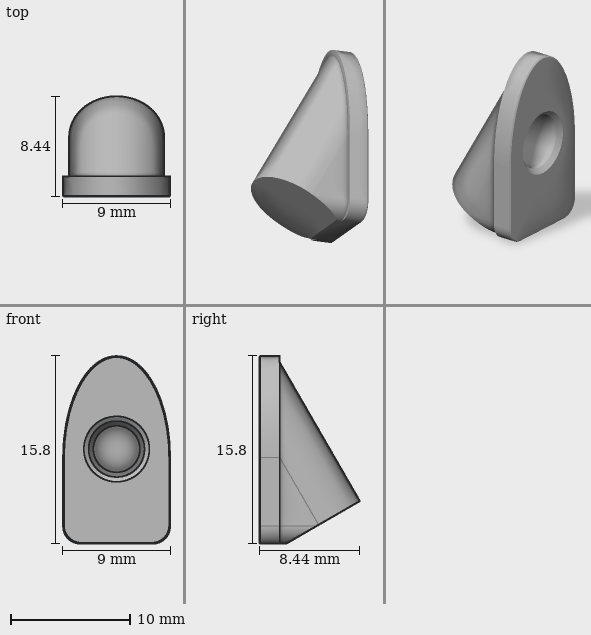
import cadquery as cq
import math

plate_width = 9.0
plate_height = 15.76
plate_thickness = 1.7
corner_radius = 1.5
front_chamfer = 0.1

body_width = 8.0
body_radius = body_width / 2
lean_angle = 30.0
plate_margin = (plate_width - body_width) / 2

sin_lean = math.sin(math.radians(lean_angle))
cos_lean = math.cos(math.radians(lean_angle))

body_arch_rise = body_radius / sin_lean
arch_spring_z = plate_height - plate_margin - body_arch_rise

body_depth = 8.44
end_center_y = body_depth - body_radius * cos_lean
end_drop = (end_center_y - plate_thickness) * cos_lean / sin_lean
end_center_z = arch_spring_z - end_drop

pocket_diameter = 4.7
pocket_center_z = 7.95
pocket_depth = 4.4
pocket_chamfer = 0.4


def arched_outline(width, spring_z, rise):
    """Flat-bottomed XZ outline closed by half an ellipse, drawn on the y = 0 plane."""
    half_width = width / 2
    return (
        cq.Workplane("XZ")
        .moveTo(half_width, spring_z)
        .ellipseArc(half_width, rise, 0, 180, startAtCurrent=True)
        .lineTo(-half_width, 0)
        .lineTo(half_width, 0)
        .close()
    )


def make_plate():
    arch_rise = plate_height - arch_spring_z
    plate = arched_outline(plate_width, arch_spring_z, arch_rise).extrude(-plate_thickness)
    plate = plate.edges("|Y and <Z").fillet(corner_radius)
    return plate.faces("<Y").chamfer(front_chamfer)


def make_body():
    prism = (
        cq.Workplane("XY")
        .box(body_width, body_depth, plate_height, centered=(True, False, False))
        .edges("|Y and <Z")
        .fillet(corner_radius)
    )

    end_plane = cq.Plane(
        origin=(0, end_center_y, end_center_z),
        xDir=(1, 0, 0),
        normal=(0, -sin_lean, cos_lean),
    )
    bar_length = 2 * plate_height
    forward_reach = plate_height
    bar = (
        cq.Workplane(end_plane)
        .moveTo(body_radius, 0)
        .threePointArc((0, body_radius), (-body_radius, 0))
        .lineTo(-body_radius, -forward_reach)
        .lineTo(body_radius, -forward_reach)
        .close()
        .extrude(bar_length)
    )
    behind_plate = (
        cq.Workplane("XY")
        .box(plate_width, body_depth, plate_height, centered=(True, False, False))
        .translate((0, plate_thickness, 0))
    )
    return prism.intersect(bar).intersect(behind_plate)


def make_pocket():
    bore_radius = pocket_diameter / 2
    mouth_radius = bore_radius + pocket_chamfer
    floor_radius = bore_radius - pocket_chamfer
    return (
        cq.Workplane("XY")
        .lineTo(mouth_radius, 0)
        .lineTo(bore_radius, pocket_chamfer)
        .lineTo(bore_radius, pocket_depth - pocket_chamfer)
        .lineTo(floor_radius, pocket_depth)
        .lineTo(0, pocket_depth)
        .close()
        .revolve(360, (0, 0, 0), (0, 1, 0))
        .translate((0, 0, pocket_center_z))
    )


result = make_plate().union(make_body()).cut(make_pocket())